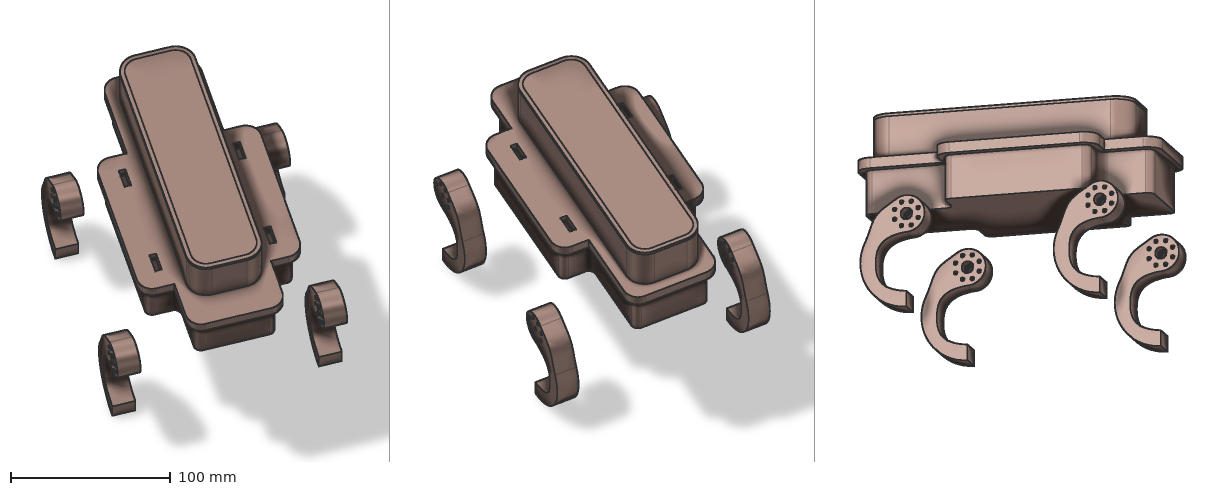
import cadquery as cq
import math


DECK_LENGTH = 198.3
DECK_WIDTH = 63.0
WING_LENGTH = 105.3
WING_SPAN = 106.3
WING_CENTER_X = 11.5
DECK_THICKNESS = 7.0
DECK_CORNER_RADIUS = 10.0

HULL_HEIGHT = 28.4
DECK_OVERHANG = 5.2

TOWER_LENGTH = 170.5
TOWER_WIDTH = 48.8
TOWER_HEIGHT = 29.7
TOWER_CENTER_X = -6.5
TOWER_CORNER_RADIUS = 12.9

RIM_WIDTH = 3.0
RIM_HEIGHT = 2.0

SLOT_LENGTH = 12.9
SLOT_WIDTH = 4.4
SLOT_CENTERS_X = (-23.2, 44.8)
SLOT_CENTERS_Y = (-38.0, 36.7)

LEG_WIDTH = 15.0
LEGS_SPAN = 150.0
REAR_HUB = (-52.4, -15.0)
FRONT_HUB = (74.0, -15.5)
HUB_RADIUS = 11.9
HOOK_RADIUS = 30.1
HOOK_THICKNESS = 10.1
BACK_START_ANGLE = 125.0
BACK_MIDPOINT = (-19.8, -0.2)
BACK_END_ANGLE = 153.0
HOOK_MIDDLE_ANGLE = 210.0
THROAT_END_SLOPE = 0.1

BORE_DIAMETER = 7.5
BORE_DEPTH = 9.0
SEAT_DIAMETER = 6.0
SEAT_DEPTH = 11.9
SCREW_DIAMETER = 2.8
HORN_HOLE_DIAMETER = 2.4
HORN_HOLE_COUNT = 8
HORN_CIRCLE_RADIUS = 8.3

DECK_TOP = HULL_HEIGHT + DECK_THICKNESS
TOWER_TOP = DECK_TOP + TOWER_HEIGHT


def rounded_block(length, width, height, radius, center_x, bottom):
    """Block with rounded vertical edges, centred on Y = 0."""
    return (
        cq.Workplane("XY", origin=(center_x, 0, bottom))
        .rect(length, width)
        .extrude(height)
        .edges("|Z")
        .fillet(radius)
    )


def make_deck():
    """Long arm crossed by a wider wing, with sharp inner corners."""
    arm = rounded_block(DECK_LENGTH, DECK_WIDTH, DECK_THICKNESS, DECK_CORNER_RADIUS, 0, HULL_HEIGHT)
    wing = rounded_block(
        WING_LENGTH, WING_SPAN, DECK_THICKNESS, DECK_CORNER_RADIUS, WING_CENTER_X, HULL_HEIGHT
    )
    return arm.union(wing)


def make_hull(deck):
    """Solid base whose outline is the deck outline moved inwards."""
    outline = deck.faces("<Z").wires().val().offset2D(-DECK_OVERHANG, "arc")[0]
    return cq.Workplane("XY", origin=(0, 0, HULL_HEIGHT)).add(outline).toPending().extrude(-HULL_HEIGHT)


def make_rim():
    """Flat ring around the top of the tower, flush with its side and top."""
    bottom = TOWER_TOP - RIM_HEIGHT
    outer = rounded_block(
        TOWER_LENGTH, TOWER_WIDTH, RIM_HEIGHT, TOWER_CORNER_RADIUS, TOWER_CENTER_X, bottom
    )
    inner = rounded_block(
        TOWER_LENGTH - 2 * RIM_WIDTH,
        TOWER_WIDTH - 2 * RIM_WIDTH,
        RIM_HEIGHT,
        TOWER_CORNER_RADIUS - RIM_WIDTH,
        TOWER_CENTER_X,
        bottom,
    )
    return outer.cut(inner)


def make_cover(deck, rim):
    """Deck and tower in one piece, with the wing slots and the recess for the rim."""
    tower = rounded_block(
        TOWER_LENGTH, TOWER_WIDTH, TOWER_HEIGHT, TOWER_CORNER_RADIUS, TOWER_CENTER_X, DECK_TOP
    )
    slot_centers = [(x, y) for x in SLOT_CENTERS_X for y in SLOT_CENTERS_Y]
    slots = (
        cq.Workplane("XY", origin=(0, 0, HULL_HEIGHT))
        .pushPoints(slot_centers)
        .rect(SLOT_LENGTH, SLOT_WIDTH)
        .extrude(DECK_THICKNESS)
    )
    return deck.union(tower).cut(slots).cut(rim)


def on_circle(radius, angle, center_z=0.0):
    """Point of a circle on the local Z axis; the angle is in degrees from +X."""
    turn = math.radians(angle)
    return (radius * math.cos(turn), center_z + radius * math.sin(turn))


def tangent(angle):
    """Anticlockwise direction of a circle at the given angle in degrees."""
    return on_circle(1.0, angle + 90.0)


def leg_profile(plane):
    """Hub, smooth back, round hook and the inner curve of the leg, with the hub axis at the origin."""
    hook_z = -HOOK_RADIUS
    throat_radius = HOOK_RADIUS - HOOK_THICKNESS
    hook_bottom = (0, -2 * HOOK_RADIUS)
    hook_tip = (0, HOOK_THICKNESS - 2 * HOOK_RADIUS)
    throat_left = (-throat_radius, (hook_tip[1] - HUB_RADIUS) / 2)
    return (
        cq.Workplane(plane)
        .moveTo(0, -HUB_RADIUS)
        .threePointArc((HUB_RADIUS, 0), on_circle(HUB_RADIUS, BACK_START_ANGLE))
        .spline(
            [BACK_MIDPOINT, on_circle(HOOK_RADIUS, BACK_END_ANGLE, hook_z)],
            tangents=[tangent(BACK_START_ANGLE), tangent(BACK_END_ANGLE)],
            includeCurrent=True,
        )
        .threePointArc(on_circle(HOOK_RADIUS, HOOK_MIDDLE_ANGLE, hook_z), hook_bottom)
        .lineTo(*hook_tip)
        .spline(
            [throat_left, (0, -HUB_RADIUS)],
            tangents=[(-1, THROAT_END_SLOPE), (1, THROAT_END_SLOPE)],
            includeCurrent=True,
        )
        .close()
    )


def make_leg(hub, near_y):
    """One leg that starts at near_y and reaches LEG_WIDTH towards +Y."""
    plane = cq.Plane.named("XZ", origin=(hub[0], near_y, hub[1]))
    horn_holes = cq.Workplane(plane).polarArray(
        HORN_CIRCLE_RADIUS, 180.0 / HORN_HOLE_COUNT, 360, HORN_HOLE_COUNT
    ).circle(HORN_HOLE_DIAMETER / 2)
    leg = leg_profile(plane).extrude(-LEG_WIDTH).cut(horn_holes.extrude(-LEG_WIDTH))
    for diameter, depth in (
        (BORE_DIAMETER, BORE_DEPTH),
        (SEAT_DIAMETER, SEAT_DEPTH),
        (SCREW_DIAMETER, LEG_WIDTH),
    ):
        leg = leg.cut(cq.Workplane(plane).circle(diameter / 2).extrude(-depth))
    return leg


deck = make_deck()
hull = make_hull(deck)
rim = make_rim()
cover = make_cover(deck, rim)
legs = [
    make_leg(hub, near_y)
    for hub in (REAR_HUB, FRONT_HUB)
    for near_y in (-LEGS_SPAN / 2, LEGS_SPAN / 2 - LEG_WIDTH)
]

result = cq.Compound.makeCompound([hull.val(), cover.val(), rim.val(), *[leg.val() for leg in legs]])